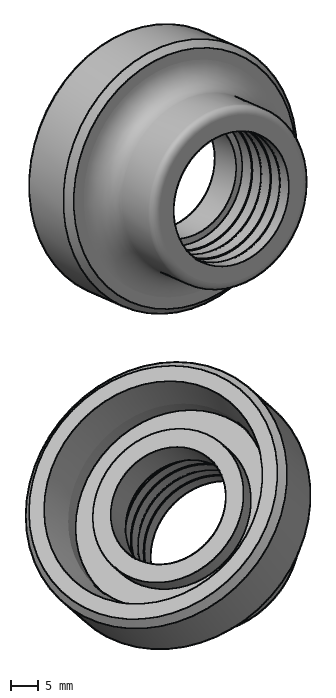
import cadquery as cq

total_length = 29.0
flange_length = 14.0
cup_depth = 10.5
boss_face_depth = 7.0
cup_taper_depth = boss_face_depth
throat_end = flange_length
groove_length = 3.0
groove_count = 2
groove_pitch = 2 * groove_length
first_groove_start = throat_end + groove_length

flange_radius = 52 / 2
hub_radius = 35.0 / 2
cup_mouth_radius = 43.4 / 2
cup_floor_radius = 39.8 / 2
boss_radius = 30.0 / 2
throat_radius = 22.9 / 2
socket_radius = 25.6 / 2
groove_radius = 26 / 2

flange_chamfer_length = 1.45
flange_chamfer_height = 1.3
neck_fillet = 5.0
hub_end_fillet = 1.5


def revolve_about_x(profile):
    return profile.close().revolve(360, (0, 0, 0), (1, 0, 0))


def make_body():
    """Chamfered flange blending into a smaller hub with a rounded end."""
    return revolve_about_x(
        cq.Workplane("XY")
        .lineTo(0, flange_radius - flange_chamfer_height)
        .lineTo(flange_chamfer_length, flange_radius)
        .lineTo(flange_length - flange_chamfer_length, flange_radius)
        .lineTo(flange_length, flange_radius - flange_chamfer_height)
        .lineTo(flange_length, hub_radius + neck_fillet)
        .radiusArc((flange_length + neck_fillet, hub_radius), -neck_fillet)
        .lineTo(total_length - hub_end_fillet, hub_radius)
        .radiusArc((total_length, hub_radius - hub_end_fillet), hub_end_fillet)
        .lineTo(total_length, 0)
    )


def make_cup():
    """Tapered recess in the flange, leaving a raised boss around the bore."""
    return revolve_about_x(
        cq.Workplane("XY")
        .lineTo(0, cup_mouth_radius)
        .lineTo(cup_taper_depth, cup_floor_radius)
        .lineTo(cup_depth, cup_floor_radius)
        .lineTo(cup_depth, boss_radius)
        .lineTo(boss_face_depth, boss_radius)
        .lineTo(boss_face_depth, 0)
    )


def make_bore():
    """Through bore: a narrow throat opening into a wider socket with shallow grooves."""
    profile = cq.Workplane("XY").lineTo(0, throat_radius)
    profile = profile.lineTo(throat_end, throat_radius).lineTo(throat_end, socket_radius)
    for index in range(groove_count):
        groove_start = first_groove_start + index * groove_pitch
        groove_end = groove_start + groove_length
        profile = (
            profile.lineTo(groove_start, socket_radius)
            .lineTo(groove_start, groove_radius)
            .lineTo(groove_end, groove_radius)
            .lineTo(groove_end, socket_radius)
        )
    profile = profile.lineTo(total_length, socket_radius).lineTo(total_length, 0)
    return revolve_about_x(profile)


result = make_body().cut(make_cup()).cut(make_bore())